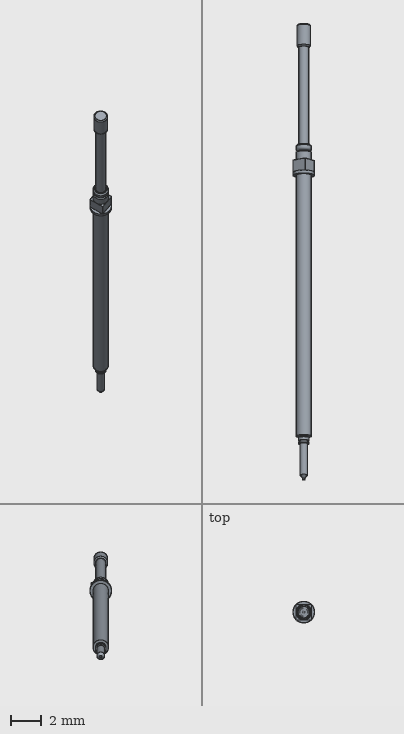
import cadquery as cq


HEAD_DIAMETER = 0.9
HEAD_LENGTH = 1.5
HEAD_TOP_CHAMFER = 0.08
HEAD_TAPER = 0.1
ROD_DIAMETER = 0.65
TOP_Z = 10.0

BARREL_DIAMETER = 1.0
BARREL_LENGTH = 17.3
COLLAR_DIAMETER = 1.4
COLLAR_THICKNESS = 0.2
SQUARE_WIDTH = 1.0
SQUARE_TOP_Z = 1.0

MOUTH_TOP_Z = 2.03
RIM_HEIGHT = 0.42
RIM_CHAMFER = 0.1
RIM_ROUND = 0.15
SHOULDER_Z = 1.53
WAIST_DIAMETER = 0.75

BEAD_DIAMETER = 0.7
UPPER_BEAD_DROP = 0.1
UPPER_BEAD_HEIGHT = 0.2
LOWER_BEAD_DROP = 0.46
LOWER_BEAD_HEIGHT = 0.04
PIN_DIAMETER = 0.5
OVERALL_LENGTH = 30.2
CONE_LENGTH = 0.22
NIB_LENGTH = 0.1
NIB_DIAMETER = 0.14


def rod(diameter, bottom_z, top_z):
    """Round bar on the probe axis between two heights."""
    return cq.Workplane("XY").workplane(offset=bottom_z).circle(diameter / 2).extrude(top_z - bottom_z)


def plunger():
    """Plunger rod with a wider head, chamfered on top and tapering into the rod below."""
    head = rod(HEAD_DIAMETER, TOP_Z - HEAD_LENGTH, TOP_Z)
    head = head.faces("<Z").chamfer(HEAD_TAPER).faces(">Z").chamfer(HEAD_TOP_CHAMFER)
    return rod(ROD_DIAMETER, SQUARE_TOP_Z, TOP_Z).union(head)


def crimped_mouth():
    """Barrel rim, chamfered above and rounded below, on a narrow waist over a flat shoulder."""
    neck = rod(BARREL_DIAMETER, 0, SHOULDER_Z)
    waist = rod(WAIST_DIAMETER, 0, MOUTH_TOP_Z - RIM_HEIGHT / 2)
    rim = rod(BARREL_DIAMETER, MOUTH_TOP_Z - RIM_HEIGHT, MOUTH_TOP_Z)
    rim = rim.faces(">Z").chamfer(RIM_CHAMFER).faces("<Z").edges().fillet(RIM_ROUND)
    return neck.union(waist).union(rim)


def collar_and_square():
    """Round collar below a square whose corners stay within the collar."""
    square = cq.Workplane("XY").rect(SQUARE_WIDTH, SQUARE_WIDTH).extrude(SQUARE_TOP_Z)
    square = square.intersect(rod(COLLAR_DIAMETER, 0, SQUARE_TOP_Z))
    return rod(COLLAR_DIAMETER, 0, COLLAR_THICKNESS).union(square)


def barrel():
    """Round main barrel below the collar."""
    return rod(BARREL_DIAMETER, -BARREL_LENGTH, 0)


def bead(drop, height):
    """Thin collar on the tail pin, its top face a given drop below the barrel."""
    top_z = -BARREL_LENGTH - drop
    return rod(BEAD_DIAMETER, top_z - height, top_z)


def tail_pin():
    """Pin below the barrel, ending in a cone and a small nib, with two thin round beads near its root."""
    tip_z = TOP_Z - OVERALL_LENGTH
    nib_top_z = tip_z + NIB_LENGTH
    cone_inset = (PIN_DIAMETER - NIB_DIAMETER) / 2
    pin = rod(PIN_DIAMETER, nib_top_z, -BARREL_LENGTH).faces("<Z").chamfer(CONE_LENGTH, cone_inset)
    pin = pin.union(rod(NIB_DIAMETER, tip_z, nib_top_z))
    pin = pin.union(bead(UPPER_BEAD_DROP, UPPER_BEAD_HEIGHT))
    pin = pin.union(bead(LOWER_BEAD_DROP, LOWER_BEAD_HEIGHT))
    return pin


result = barrel().union(crimped_mouth()).union(collar_and_square()).union(plunger()).union(tail_pin())